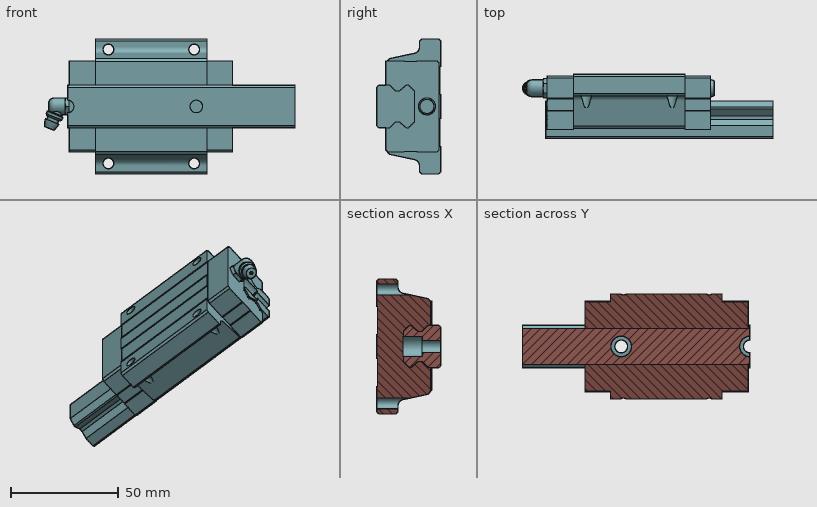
import cadquery as cq
import math


rail_length = 106.0
rail_width = 20.0
rail_half_width = rail_width / 2
rail_height = 17.6
rail_base_chamfer = 1.0
rail_top_chamfer = 2.8
groove_depth = 2.8
groove_bottom_y = 6.1
groove_floor_y = (8.9, 10.6)
groove_top_y = 13.9
rail_hole_diameter = 5.8
rail_counterbore_diameter = 9.5
rail_counterbore_depth = 8.9
rail_hole_pitch = 60.0
rail_hole_count = 2

block_start = 13.0
block_length = 52.0
block_width = 63.0
block_half_width = block_width / 2
block_top_y = 30.0
block_bottom_y = 4.8
block_skirt_half_width = 20.9
skirt_chamfer_width = 1.4
skirt_chamfer_height = 1.2
skirt_angle = 12.0
flange_bottom_y = 20.0
flange_chamfer = 1.0
flange_fillet = 2.9
relief_depth = 0.4
relief_inner_z = 5.6
relief_outer_z = 18.7
mount_hole_diameter = 4.9
mount_hole_pitch_x = 40.0
mount_hole_pitch_z = 53.0

cap_start = 0.7
cap_end = 76.9
cap_half_width = 21.3
cap_bottom_y = 4.2
cap_top_y = 29.2
cap_chamfer = 1.0
cap_groove_depth = 0.4
cap_groove_bottom_y = 12.9
cap_groove_top_y = 18.5
cap_groove_lower_slope = 0.4
cap_groove_upper_slope = 0.6

port_y = 23.5
nipple_hex_flats = 8.0
nipple_hex_length = 1.9
nipple_hex_chamfer_length = 0.4
nipple_body_diameter = 8.0
nipple_body_end_x = -8.9
nipple_end_fillet = 2.6
spout_x = -4.3
spout_angle = 22.5
spout_neck_diameter = 6.5
spout_collar_diameter = 8.0
spout_waist_diameter = 5.5
spout_head_diameter = 6.8
head_arc_mid_diameter = 6.4
head_arc_end_diameter = 5.6
spout_tip_diameter = 4.9
flare_start = 3.5
collar_start = 4.0
collar_chamfer_start = 5.3
collar_end = 6.1
head_start = 7.6
head_arc_mid = 8.9
head_arc_end = 9.9
spout_end = 11.1
spout_bore_diameter = 1.4
spout_bore_depth = 1.2
plug_base_diameter = 8.0
plug_end_diameter = 6.5
plug_bulge_radius = 3.9
plug_length = 1.8


def extrude_x(profile, start, length):
    """Extrude an outline made by section() along +X from start."""
    solid = profile.extrude(length)
    return solid.rotate((0, 0, 0), (0, 1, 0), 90).translate((start, 0, 0))


def section(points):
    """Closed outline from (Z, Y) points, ready for extrude_x."""
    return cq.Workplane("XY").polyline([(-z, y) for z, y in points]).close()


def mirrored(points):
    """Complete a +Z half outline with its mirror image."""
    return points + [(-z, y) for z, y in reversed(points)]


def y_cylinder(diameter, x, z, y_start, y_end):
    """Cylinder along +Y."""
    axis_start = cq.Vector(x, y_start, z)
    axis_direction = cq.Vector(0, 1, 0)
    return cq.Workplane(cq.Solid.makeCylinder(diameter / 2, y_end - y_start, axis_start, axis_direction))


def rail_bar():
    """Rail cross-section over the full rail length, without holes."""
    floor_z = rail_half_width - groove_depth
    half = [
        (rail_half_width - rail_base_chamfer, 0),
        (rail_half_width, rail_base_chamfer),
        (rail_half_width, groove_bottom_y),
        (floor_z, groove_floor_y[0]),
        (floor_z, groove_floor_y[1]),
        (rail_half_width, groove_top_y),
        (rail_half_width, rail_height - rail_top_chamfer),
        (rail_half_width - rail_top_chamfer, rail_height),
    ]
    return extrude_x(section(mirrored(half)), 0, rail_length)


def make_rail():
    rail = rail_bar()
    counterbore_floor = rail_height - rail_counterbore_depth
    for index in range(rail_hole_count):
        x = index * rail_hole_pitch
        rail = rail.cut(y_cylinder(rail_hole_diameter, x, 0, 0, rail_height))
        rail = rail.cut(y_cylinder(rail_counterbore_diameter, x, 0, counterbore_floor, rail_height))
    return rail


def make_block():
    """Flanged centre block with mounting holes."""
    skirt_z = block_skirt_half_width + skirt_chamfer_width
    skirt_y = block_bottom_y + skirt_chamfer_height
    flange_root_z = skirt_z + (flange_bottom_y - skirt_y) * math.tan(math.radians(skirt_angle))
    half = [
        (block_skirt_half_width, block_bottom_y),
        (skirt_z, skirt_y),
        (flange_root_z, flange_bottom_y),
        (block_half_width - flange_chamfer, flange_bottom_y),
        (block_half_width, flange_bottom_y + flange_chamfer),
        (block_half_width, block_top_y - flange_chamfer),
        (block_half_width - flange_chamfer, block_top_y),
        (relief_outer_z, block_top_y),
        (relief_outer_z, block_top_y - relief_depth),
        (relief_inner_z, block_top_y - relief_depth),
        (relief_inner_z, block_top_y),
    ]
    block = extrude_x(section(mirrored(half)), block_start, block_length)

    block_middle = block_start + block_length / 2
    for side in (-1, 1):
        corner = (block_middle, flange_bottom_y, side * flange_root_z)
        block = block.edges(cq.selectors.NearestToPointSelector(corner)).fillet(flange_fillet)
    for x_side in (-1, 1):
        for z_side in (-1, 1):
            x = block_middle + x_side * mount_hole_pitch_x / 2
            z = z_side * mount_hole_pitch_z / 2
            block = block.cut(y_cylinder(mount_hole_diameter, x, z, 0, block_top_y))
    return block


def make_cap(start, end):
    """End cap; its lower corner is chamfered on the -Z side only."""
    groove_z = cap_half_width - cap_groove_depth
    side = [
        (cap_half_width, cap_groove_bottom_y),
        (groove_z, cap_groove_bottom_y + cap_groove_lower_slope),
        (groove_z, cap_groove_top_y),
        (cap_half_width, cap_groove_top_y + cap_groove_upper_slope),
        (cap_half_width, cap_top_y - cap_chamfer),
        (cap_half_width - cap_chamfer, cap_top_y),
    ]
    chamfered_corner = [
        (-cap_half_width, cap_bottom_y + cap_chamfer),
        (-cap_half_width + cap_chamfer, cap_bottom_y),
    ]
    outline = [(cap_half_width, cap_bottom_y)] + mirrored(side) + chamfered_corner
    return extrude_x(section(outline), start, end - start)


def make_nipple():
    """Elbow grease nipple on the -X cap."""
    across_corners = nipple_hex_flats / math.cos(math.pi / 6)
    axis_plane = cq.Workplane("YZ", origin=(cap_start, port_y, 0))
    hexagon = axis_plane.polygon(6, across_corners).extrude(-nipple_hex_length)
    trim = axis_plane.circle(across_corners / 2).extrude(-nipple_hex_length)
    corner_height = (across_corners - nipple_hex_flats) / 2
    trim_edge = trim.faces("<X").edges()
    hexagon = hexagon.intersect(trim_edge.chamfer(nipple_hex_chamfer_length, corner_height))
    body = axis_plane.circle(nipple_body_diameter / 2).extrude(nipple_body_end_x - cap_start)
    body = body.faces("<X").edges().fillet(nipple_end_fillet)

    spout = (
        cq.Workplane("XY")
        .moveTo(0, 0)
        .lineTo(spout_neck_diameter / 2, 0)
        .lineTo(spout_neck_diameter / 2, flare_start)
        .lineTo(spout_collar_diameter / 2, collar_start)
        .lineTo(spout_collar_diameter / 2, collar_chamfer_start)
        .lineTo(spout_neck_diameter / 2, collar_end)
        .lineTo(spout_waist_diameter / 2, collar_end)
        .lineTo(spout_waist_diameter / 2, head_start)
        .lineTo(spout_head_diameter / 2, head_start)
        .threePointArc(
            (head_arc_mid_diameter / 2, head_arc_mid),
            (head_arc_end_diameter / 2, head_arc_end),
        )
        .lineTo(spout_tip_diameter / 2, spout_end)
        .lineTo(0, spout_end)
        .close()
        .revolve(360, (0, 0, 0), (0, 1, 0))
    )
    bore = y_cylinder(spout_bore_diameter, 0, 0, spout_end - spout_bore_depth, spout_end)
    spout = spout.cut(bore)
    spout = spout.rotate((0, 0, 0), (1, 0, 0), -90).rotate((0, 0, 0), (0, 1, 0), spout_angle)
    spout = spout.translate((spout_x, port_y, 0))
    return hexagon.union(body).union(spout)


def make_plug():
    """Domed plug on the +X cap."""
    return (
        cq.Workplane("XY", origin=(cap_end, port_y, 0))
        .lineTo(0, plug_base_diameter / 2)
        .threePointArc((plug_length / 2, plug_bulge_radius), (plug_length, plug_end_diameter / 2))
        .lineTo(plug_length, 0)
        .close()
        .revolve(360, (0, 0, 0), (1, 0, 0))
    )


def make_carriage():
    """Block, end caps, nipple and plug as one solid with a channel that fits the rail."""
    carriage = make_block()
    carriage = carriage.union(make_cap(cap_start, block_start))
    carriage = carriage.union(make_cap(block_start + block_length, cap_end))
    carriage = carriage.cut(rail_bar())
    return carriage.union(make_nipple()).union(make_plug())


rail = make_rail()
carriage = make_carriage()

result = cq.Compound.makeCompound([rail.val(), carriage.val()])